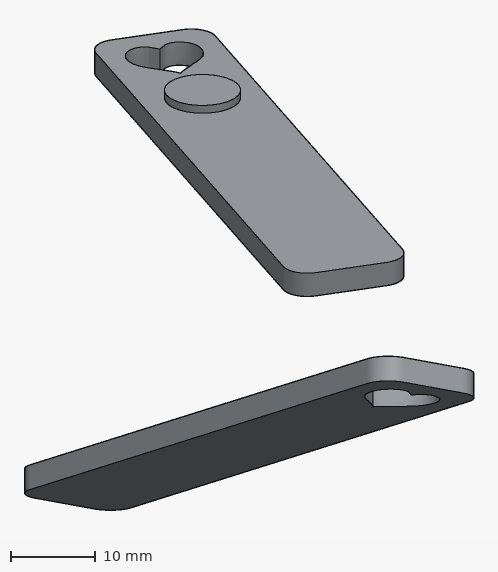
import cadquery as cq

plate_length = 72.0
plate_width = 15.0
plate_thickness = 3.0
corner_radius = 3.0

disc_diameter = 9.0
disc_height = 1.0
disc_x = 19.5

heart_notch = (4.5, 0)
heart_tip = (11.9, 0)
lobe_and_flank = [
    (3.5, 1.0),
    (3.2, 2.1),
    (4.1, 4.0),
    (6.0, 4.7),
    (7.9, 4.2),
    (9.7, 2.45),
    heart_tip,
]


def make_plate():
    return (
        cq.Workplane("XY")
        .box(plate_length, plate_width, plate_thickness, centered=(False, True, False))
        .edges("|Z")
        .fillet(corner_radius)
    )


def make_disc():
    return (
        cq.Workplane("XY", origin=(disc_x, 0, plate_thickness))
        .circle(disc_diameter / 2)
        .extrude(disc_height)
    )


def make_heart():
    upper_half = (
        cq.Workplane("XY")
        .moveTo(*heart_notch)
        .lineTo(*lobe_and_flank[0])
        .spline(lobe_and_flank[1:], includeCurrent=True)
        .close()
        .extrude(plate_thickness)
    )
    return upper_half.union(upper_half.mirror("XZ"))


result = make_plate().union(make_disc()).cut(make_heart())